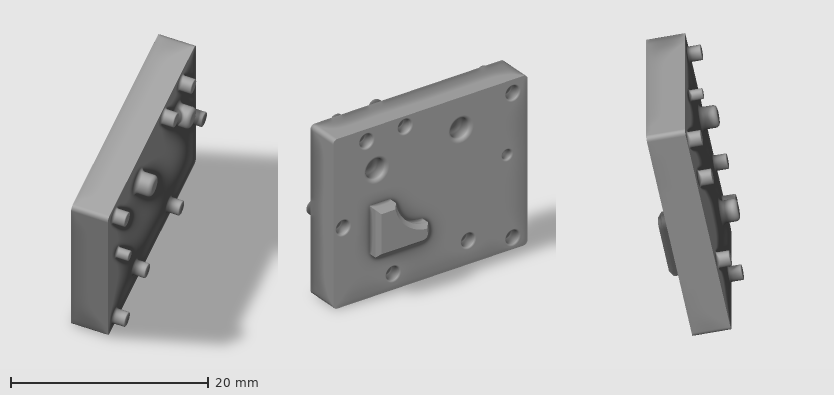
import cadquery as cq
import math

PLATE_THICKNESS = 4.0
PLATE_LENGTH = 24.15
PLATE_HEIGHT = 19.6
PLATE_CORNER_RADIUS = 0.5

LARGE_PIN = (2.32, 1.8, 0.4, 0.4)
MEDIUM_PIN = (1.6, 1.4, 0.2, 0.1)
SMALL_PIN = (1.1, 1.4, 0.2, 0.1)

LARGE_PIN_CENTRES = [(6.7, 4.7), (-3.8, 6.09)]
MEDIUM_PIN_CENTRES = [
    (7.92, 8.38),
    (3.15, 8.57),
    (-10.25, 8.24),
    (10.85, -0.7),
    (4.64, -7.97),
    (-4.7, -7.08),
    (-10.25, -8.48),
]
SMALL_PIN_CENTRES = [(-9.55, 1.3)]

BOSS_HEIGHT = 1.47
BOSS_CHAMFER = 0.43
BOSS_SIDE_Y = 7.58
BOSS_BOTTOM_Z = -4.7
BOSS_TOP_Z = 0.8
BOSS_TOP_END_Y = 5.02
BOSS_TOE_Y = 1.05
BOSS_TOE_Z = -2.68
BOSS_SCOOP_RADIUS = 4.0
BOSS_TOE_SLOPE = 7.0
BOSS_TOE_RADIUS = 1.0


def make_plate():
    plate = cq.Workplane("YZ").rect(PLATE_LENGTH, PLATE_HEIGHT).extrude(PLATE_THICKNESS)
    return plate.edges("|X").fillet(PLATE_CORNER_RADIUS)


def make_pin(size, base_x, centre):
    """Round pin pointing along +X, flared at its root and rounded at its tip."""
    diameter, height, flare, tip = size
    radius = diameter / 2
    diagonal = math.sqrt(0.5)
    flare_middle = (flare * (1 - diagonal), radius + flare * (1 - diagonal))
    tip_middle = (height - tip * (1 - diagonal), radius - tip * (1 - diagonal))
    profile = (
        cq.Workplane("XY")
        .moveTo(0, 0)
        .lineTo(0, radius + flare)
        .threePointArc(flare_middle, (flare, radius))
        .lineTo(height - tip, radius)
        .threePointArc(tip_middle, (height, radius - tip))
        .lineTo(height, 0)
        .close()
    )
    pin = profile.revolve(360, (0, 0, 0), (1, 0, 0))
    return pin.translate((base_x, *centre))


def make_boss():
    toe_corner_y = BOSS_TOE_Y - (BOSS_TOE_Z - BOSS_BOTTOM_Z) * math.tan(math.radians(BOSS_TOE_SLOPE))
    boss = (
        cq.Workplane("YZ")
        .moveTo(BOSS_SIDE_Y, BOSS_BOTTOM_Z)
        .lineTo(BOSS_SIDE_Y, BOSS_TOP_Z)
        .lineTo(BOSS_TOP_END_Y, BOSS_TOP_Z)
        .radiusArc((BOSS_TOE_Y, BOSS_TOE_Z), BOSS_SCOOP_RADIUS)
        .lineTo(toe_corner_y, BOSS_BOTTOM_Z)
        .close()
        .extrude(-BOSS_HEIGHT)
    )
    toe_edge = cq.selectors.NearestToPointSelector((-BOSS_HEIGHT / 2, toe_corner_y, BOSS_BOTTOM_Z))
    boss = boss.edges("|X").edges(toe_edge).fillet(BOSS_TOE_RADIUS)
    return boss.faces("<X").chamfer(BOSS_CHAMFER)


result = make_plate().union(make_boss())

pin_groups = [
    (LARGE_PIN, LARGE_PIN_CENTRES),
    (MEDIUM_PIN, MEDIUM_PIN_CENTRES),
    (SMALL_PIN, SMALL_PIN_CENTRES),
]
for pin_size, centres in pin_groups:
    for pin_centre in centres:
        result = result.union(make_pin(pin_size, PLATE_THICKNESS, pin_centre))
        result = result.cut(make_pin(pin_size, 0, pin_centre))